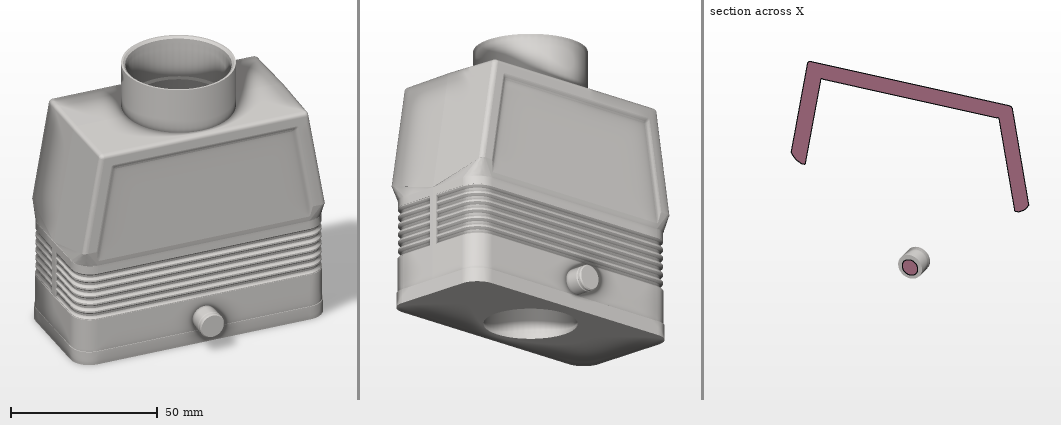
import cadquery as cq
import math

TOTAL_HEIGHT = 97.75
PIN_SPAN = 58.0

BAND_HALF_X = 21.75
BAND_HALF_Y = 46.75
BAND_TOP = 5.0
CORNER_RADIUS = 7.0
BASE_INSET_X = 0.25
BASE_INSET_Y = 0.1
BASE_HALF_X = BAND_HALF_X - BASE_INSET_X
BASE_HALF_Y = BAND_HALF_Y - BASE_INSET_Y
END_CREASE = 0.2
BASE_TOP = 17.3

RIB_PITCH = 3.0
RIB_SPACES = 6
RIB_DEPTH = 0.9
RIB_TIP_WIDTH = 0.6
RIB_FLANK_HEIGHT = 0.8
GRIP_TOP = BASE_TOP + RIB_SPACES * RIB_PITCH
NECK_HALF_X = 21.4
NECK_HALF_Y = 46.5
GRIP_HALF_Y = NECK_HALF_Y - END_CREASE
NECK_TOP = 38.2
SPINE_WIDTH = 3.0

HOOD_HALF_X = 22.5
HOOD_TOP = 81.4
HOOD_CORNER_Z = 44.2
END_DRAFT = math.tan(math.radians(9.8))
HOOD_END_CREASE = 0.4
ROOF_CREASE = 0.25
HOOD_ROUND = 1.5

PANEL_DEPTH = 0.75
PANEL_TOP = 76.5
PANEL_END_MARGIN = 5.3
PANEL_EDGE_SLOPE = 1.4
PANEL_EDGE_ROUND = 1.5
PANEL_CORNER_RADIUS = 1.2
PANEL_CUT_OVERSHOOT = 0.01

COLLAR_RADIUS = 19.6
COLLAR_BORE_RADIUS = 18.2
COLLAR_RIM_CHAMFER = 0.7
LEDGE_Z = 82.4
CABLE_BORE_RADIUS = 16.1

PIN_RADIUS = 4.5
PIN_Z = 9.7
PIN_CHAMFER = 0.4
PIN_NECK_RADIUS = 3.0
PIN_NECK_END = 22.1
PIN_GROOVE_X = 27.35
PIN_GROOVE_DEPTH = 0.3


def rounded_block(half_x, half_y, radius, z_bottom, z_top):
    """Upright block with rounded vertical corners."""
    block = cq.Workplane("XY").workplane(offset=z_bottom).rect(2 * half_x, 2 * half_y)
    return block.extrude(z_top - z_bottom).edges("|Z").fillet(radius)


def creased_outline(plane, half_x, center_y, corner_y):
    """Six-sided outline whose +Y and -Y ends peak on the centre line."""
    return plane.polyline([
        (0, -center_y),
        (half_x, -corner_y),
        (half_x, corner_y),
        (0, center_y),
        (-half_x, corner_y),
        (-half_x, -corner_y),
    ]).close()


def creased_block(half_x, half_y, z_bottom, z_top):
    """Upright block with creased ends and rounded vertical corners."""
    plane = cq.Workplane("XY").workplane(offset=z_bottom)
    block = creased_outline(plane, half_x, half_y, half_y - END_CREASE).extrude(z_top - z_bottom)
    return block.faces("<X or >X").edges("|Z").fillet(CORNER_RADIUS)


def hood_end_y(z):
    """Half length of the hood along Y on its centre crease at height z."""
    return NECK_HALF_Y - (z - NECK_TOP) * END_DRAFT


def make_rib(z_center):
    """Trapezoidal rib running around the grip."""
    half_height = RIB_TIP_WIDTH / 2 + RIB_FLANK_HEIGHT
    slab = rounded_block(
        NECK_HALF_X, GRIP_HALF_Y, CORNER_RADIUS, z_center - half_height, z_center + half_height
    )
    return slab.faces(">Z or <Z").chamfer(RIB_FLANK_HEIGHT, RIB_DEPTH)


def make_lower_body():
    """Bottom band, base, ribbed grip, end spines and neck."""
    body = rounded_block(BAND_HALF_X, BAND_HALF_Y, CORNER_RADIUS, 0, BAND_TOP)
    body = body.union(creased_block(BASE_HALF_X, BASE_HALF_Y, BAND_TOP, BASE_TOP))
    core = rounded_block(
        NECK_HALF_X - RIB_DEPTH,
        GRIP_HALF_Y - RIB_DEPTH,
        CORNER_RADIUS - RIB_DEPTH,
        BASE_TOP,
        GRIP_TOP,
    )
    body = body.union(core)
    for index in range(RIB_SPACES + 1):
        body = body.union(make_rib(BASE_TOP + index * RIB_PITCH))
    neck = creased_block(NECK_HALF_X, NECK_HALF_Y, BASE_TOP, NECK_TOP)
    spine_zone = cq.Workplane("XY").rect(SPINE_WIDTH, 2 * BAND_HALF_Y).extrude(NECK_TOP)
    above_grip = cq.Workplane("XY").workplane(offset=GRIP_TOP).rect(2 * BAND_HALF_X, 2 * BAND_HALF_Y)
    neck_zone = above_grip.extrude(NECK_TOP - GRIP_TOP)
    return body.union(neck.intersect(spine_zone.union(neck_zone)))


def make_flare():
    """Transition from the round-cornered neck to the square-cornered hood."""
    corner_y = hood_end_y(HOOD_CORNER_Z) - HOOD_END_CREASE
    lower = cq.Sketch().rect(2 * NECK_HALF_X, 2 * GRIP_HALF_Y).vertices().fillet(CORNER_RADIUS)
    upper = cq.Sketch().rect(2 * HOOD_HALF_X, 2 * corner_y).vertices().fillet(HOOD_ROUND)
    rise = cq.Location(cq.Vector(0, 0, HOOD_CORNER_Z - NECK_TOP))
    flare = cq.Workplane("XY").workplane(offset=NECK_TOP)
    return flare.placeSketch(lower, upper.moved(rise)).loft(ruled=True)


def hood_section(plane, z):
    """Six-sided hood outline with a creased end at +Y and -Y."""
    center_y = hood_end_y(z)
    return creased_outline(plane, HOOD_HALF_X, center_y, center_y - HOOD_END_CREASE)


def gabled_prism(point_z, side_bottom_z, eave_z):
    """Prism along Y with a V-shaped underside and a shallow ridged roof."""
    profile = cq.Workplane("XZ").polyline([
        (0, point_z),
        (HOOD_HALF_X, side_bottom_z),
        (HOOD_HALF_X, eave_z),
        (0, HOOD_TOP),
        (-HOOD_HALF_X, eave_z),
        (-HOOD_HALF_X, side_bottom_z),
    ]).close()
    return profile.extrude(BAND_HALF_Y, both=True)


def make_hood():
    """Tapered hood whose ends run down to a point on the neck."""
    lower = hood_section(cq.Workplane("XY").workplane(offset=NECK_TOP), NECK_TOP)
    hood = hood_section(lower.workplane(offset=HOOD_TOP - NECK_TOP), HOOD_TOP).loft(ruled=True)
    roof_eave = HOOD_TOP - ROOF_CREASE
    hood = hood.intersect(gabled_prism(NECK_TOP, NECK_TOP, roof_eave))
    corner_edges = hood.faces("<X or >X").edges("not |Y")
    roof_zone = cq.selectors.BoxSelector(
        (-HOOD_HALF_X - HOOD_ROUND, -BAND_HALF_Y, roof_eave - ROOF_CREASE),
        (HOOD_HALF_X + HOOD_ROUND, BAND_HALF_Y, HOOD_TOP + ROOF_CREASE),
    )
    roof_edges = hood.edges(roof_zone).edges("not >Z")
    hood = hood.newObject(corner_edges.vals() + roof_edges.vals()).fillet(HOOD_ROUND)
    return hood.intersect(gabled_prism(NECK_TOP, HOOD_CORNER_Z, roof_eave))


def panel_outline(plane, edge_offset):
    """Trapezoid of a side panel, shrunk by edge_offset at the top and ends."""
    margin = PANEL_END_MARGIN + edge_offset
    z_top = PANEL_TOP - edge_offset
    top_y = hood_end_y(z_top) - margin
    bottom_y = hood_end_y(NECK_TOP) - margin
    return plane.polyline([
        (-bottom_y, NECK_TOP),
        (bottom_y, NECK_TOP),
        (top_y, z_top),
        (-top_y, z_top),
    ]).close()


def make_panel_cutter():
    """Recess with sloped, rounded edges in the +X side of the hood."""
    floor_x = HOOD_HALF_X - PANEL_DEPTH
    floor = panel_outline(cq.Workplane("YZ").workplane(offset=floor_x), PANEL_EDGE_SLOPE)
    cut_depth = PANEL_DEPTH + PANEL_CUT_OVERSHOOT
    recess = panel_outline(floor.workplane(offset=cut_depth), 0).loft(ruled=True)
    recess = recess.faces(">Z").edges("not |Y").fillet(PANEL_CORNER_RADIUS)
    recess = recess.faces("<X").edges("not <Z").fillet(PANEL_EDGE_ROUND)
    clearance = cq.Workplane("XY").box(
        PANEL_DEPTH, 2 * BAND_HALF_Y, HOOD_TOP - NECK_TOP, centered=(False, True, False)
    )
    cutter = recess.union(clearance.translate((floor_x + cut_depth, 0, NECK_TOP)))
    rim_zone = cq.selectors.BoxSelector(
        (floor_x + PANEL_DEPTH / 2, -NECK_HALF_Y, NECK_TOP + PANEL_DEPTH),
        (HOOD_HALF_X + PANEL_DEPTH / 4, NECK_HALF_Y, HOOD_TOP - PANEL_DEPTH),
    )
    return cutter.edges(rim_zone).fillet(PANEL_EDGE_ROUND)


def make_pin():
    """Locking pin on the +X side: relieved root, V groove and chamfered tip."""
    tip_x = PIN_SPAN / 2
    tip_radius = PIN_RADIUS - PIN_CHAMFER
    half_profile = cq.Workplane("XY").polyline([
        (0, 0),
        (0, PIN_NECK_RADIUS),
        (PIN_NECK_END, PIN_NECK_RADIUS),
        (PIN_NECK_END, PIN_RADIUS),
        (PIN_GROOVE_X - PIN_GROOVE_DEPTH, PIN_RADIUS),
        (PIN_GROOVE_X, PIN_RADIUS - PIN_GROOVE_DEPTH),
        (PIN_GROOVE_X + PIN_GROOVE_DEPTH, PIN_RADIUS),
        (tip_x - PIN_CHAMFER, PIN_RADIUS),
        (tip_x, tip_radius),
        (tip_x, 0),
    ]).close()
    return half_profile.revolve(360, (0, 0, 0), (1, 0, 0)).translate((0, 0, PIN_Z))


def make_collar():
    """Cable collar standing on the hood."""
    collar = cq.Workplane("XY").workplane(offset=NECK_TOP).circle(COLLAR_RADIUS)
    return collar.extrude(TOTAL_HEIGHT - NECK_TOP)


def cut_bore(body):
    """Stepped bore from the collar rim down through the underside."""
    body = body.cut(cq.Workplane("XY").circle(CABLE_BORE_RADIUS).extrude(TOTAL_HEIGHT))
    counterbore = cq.Workplane("XY").workplane(offset=LEDGE_Z).circle(COLLAR_BORE_RADIUS)
    body = body.cut(counterbore.extrude(TOTAL_HEIGHT - LEDGE_Z))
    rim = cq.Solid.makeCone(
        COLLAR_BORE_RADIUS,
        COLLAR_BORE_RADIUS + COLLAR_RIM_CHAMFER,
        COLLAR_RIM_CHAMFER,
        cq.Vector(0, 0, TOTAL_HEIGHT - COLLAR_RIM_CHAMFER),
    )
    return body.cut(cq.Workplane(rim))


pin = make_pin()
housing = make_lower_body().union(pin).union(pin.mirror("YZ")).union(make_collar())
housing = housing.union(make_flare()).union(make_hood())
housing = cut_bore(housing)
panel_cutter = make_panel_cutter()
result = housing.cut(panel_cutter).cut(panel_cutter.mirror("YZ"))